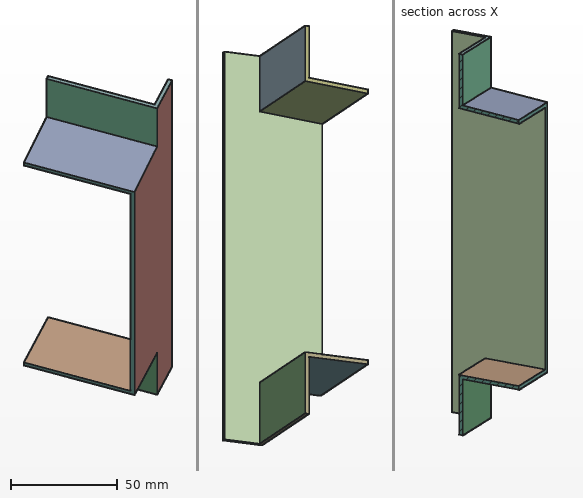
import cadquery as cq

width = 55.5
depth = 50.0
height = 190.0

sheet = 2.0
flange_front = depth - 20.0
lower_flange_height = 28.0
upper_flange_height = 25.3
upper_shelf_drop = 2.0

flange_back = flange_front + sheet
upper_root_z = height - upper_flange_height
upper_front_z = upper_root_z - upper_shelf_drop
upper_slope = upper_shelf_drop / flange_front
upper_inner_root_z = upper_root_z - sheet + upper_slope * sheet


def extrude_across(outline, start_x, length):
    """Extrude a closed (Y, Z) outline along X."""
    return cq.Workplane("YZ", origin=(start_x, 0, 0)).polyline(outline).close().extrude(length)


side_plate = extrude_across(
    [
        (depth, 0),
        (depth, height),
        (flange_front, height),
        (flange_front, upper_root_z),
        (0, upper_front_z),
        (0, lower_flange_height),
        (flange_front, lower_flange_height),
        (flange_front, 0),
    ],
    width - sheet,
    sheet,
)

upper_angle = extrude_across(
    [
        (flange_back, height),
        (flange_front, height),
        (flange_front, upper_root_z),
        (0, upper_front_z),
        (0, upper_front_z - sheet),
        (flange_back, upper_inner_root_z),
    ],
    0,
    width,
)

lower_shelf_top = lower_flange_height + sheet
lower_angle = extrude_across(
    [
        (flange_back, 0),
        (flange_front, 0),
        (flange_front, lower_flange_height),
        (0, lower_flange_height),
        (0, lower_shelf_top),
        (flange_back, lower_shelf_top),
    ],
    0,
    width,
)

result = side_plate.union(upper_angle).union(lower_angle)